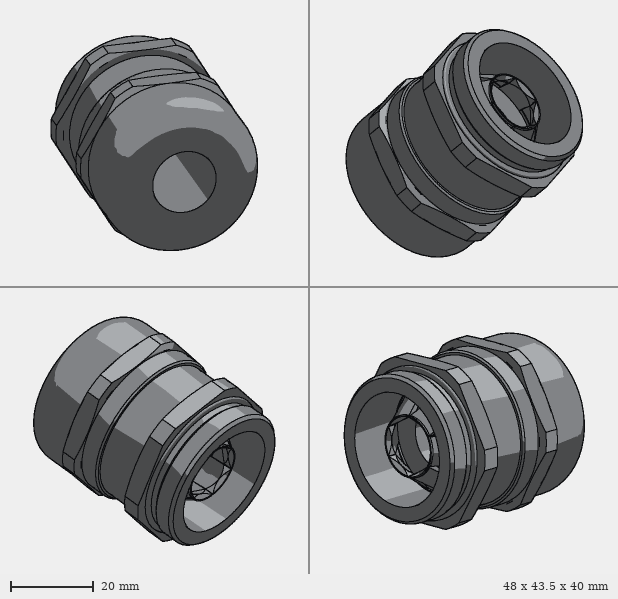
import cadquery as cq
import math

total_length = 48.0

thread_radius = 37.0 / 2
neck_radius = 35.5 / 2
flange_radius = 38.3 / 2
collar_radius = 39.2 / 2
cap_radius = 40.0 / 2
thread_lead_in = 0.85
thread_end = 5.0
thread_run_out = 0.7
flange_start = 7.35
flange_round = 0.4
collar_start = 23.7
collar_chamfer = 0.5
cap_round = 6.0

hex_sides = 6
hex_across_flats = 2 * cap_radius
hex_corner_radius = 43.5 / 2
hex_length = 5.0
hex_chamfer = 0.6
body_hex_start = 8.0
cap_hex_start = 28.75

bore_radius = 28.4 / 2
bore_depth = 14.65
outlet_radius = 16.0 / 2
seat_ring_radius = bore_radius - 0.25
seat_ring_height = 0.7

finger_count = 6
opening_across_flats = 13.05
opening_apothem = opening_across_flats / 2
finger_gap = 0.1
finger_width = opening_across_flats * math.tan(math.pi / finger_count) - finger_gap
tip_outer_radius = 7.8
tip_inner_radius = 7.45
tip_start = 3.85
tip_countersink = 1.05
tip_collar_length = 0.6
finger_root = 14.5
hollow_slope = 1.3


def revolve_about_x(profile):
    """Turn a closed (x, radius) profile drawn in the XY plane about the X axis."""
    return profile.close().revolve(360, (0, 0, 0), (1, 0, 0))


def cylinder_x(start, end, radius):
    return cq.Workplane("YZ").workplane(offset=start).circle(radius).extrude(end - start)


def make_turned_body():
    profile = (
        cq.Workplane("XY")
        .moveTo(0, 0)
        .lineTo(0, neck_radius)
        .lineTo(thread_lead_in, thread_radius)
        .lineTo(thread_end, thread_radius)
        .lineTo(thread_end + thread_run_out, neck_radius)
        .lineTo(flange_start, neck_radius)
        .lineTo(flange_start, flange_radius - flange_round)
        .radiusArc((flange_start + flange_round, flange_radius), flange_round)
        .lineTo(body_hex_start, flange_radius)
        .lineTo(body_hex_start, thread_radius)
        .lineTo(collar_start, thread_radius)
        .lineTo(collar_start, collar_radius - collar_chamfer)
        .lineTo(collar_start + collar_chamfer, collar_radius)
        .lineTo(cap_hex_start, collar_radius)
        .lineTo(cap_hex_start, cap_radius)
        .lineTo(total_length - cap_round, cap_radius)
        .radiusArc((total_length, cap_radius - cap_round), cap_round)
        .lineTo(total_length, 0)
    )
    return revolve_about_x(profile)


def make_hex(start, chamfer_front):
    """Hexagon with flats at +Z and -Z; its corners are turned to a cylinder and chamfered."""
    end = start + hex_length
    corner_to_corner = hex_across_flats / math.cos(math.pi / hex_sides)
    start_plane = cq.Workplane("YZ").workplane(offset=start)
    prism = start_plane.polygon(hex_sides, corner_to_corner).extrude(hex_length)
    blank = cq.Workplane("XY").moveTo(start, 0)
    if chamfer_front:
        blank = blank.lineTo(start, cap_radius).lineTo(start + hex_chamfer, hex_corner_radius)
    else:
        blank = blank.lineTo(start, hex_corner_radius)
    blank = blank.lineTo(end - hex_chamfer, hex_corner_radius).lineTo(end, cap_radius).lineTo(end, 0)
    return prism.intersect(revolve_about_x(blank))


def make_seat_ring():
    start = bore_depth - seat_ring_height
    ring = cylinder_x(start, bore_depth, bore_radius)
    return ring.cut(cylinder_x(start, bore_depth, seat_ring_radius))


def make_fingers():
    """Conical shell pointing to -X, split into parallel-sided fingers."""
    inner_tip = bore_depth - hollow_slope * (seat_ring_radius - opening_apothem)
    shell = revolve_about_x(
        cq.Workplane("XY")
        .moveTo(tip_start, tip_inner_radius)
        .lineTo(tip_start, tip_outer_radius)
        .lineTo(tip_start + tip_collar_length, tip_outer_radius)
        .lineTo(finger_root, bore_radius)
        .lineTo(bore_depth, bore_radius)
        .lineTo(bore_depth, seat_ring_radius)
        .lineTo(inner_tip, opening_apothem)
        .lineTo(tip_start + tip_countersink, opening_apothem)
    )
    bars = cq.Workplane("XY")
    for index in range(finger_count):
        bar = (
            cq.Workplane("XY")
            .box(bore_depth, bore_radius, finger_width, centered=(False, False, True))
            .translate((0, opening_apothem, 0))
            .rotate((0, 0, 0), (1, 0, 0), index * 360 / finger_count)
        )
        bars = bars.add(bar)
    return shell.intersect(bars.combine())


result = make_turned_body()
result = result.union(make_hex(body_hex_start, chamfer_front=False))
result = result.union(make_hex(cap_hex_start, chamfer_front=True))
result = result.cut(cylinder_x(0, bore_depth, bore_radius))
result = result.cut(cylinder_x(bore_depth, total_length, outlet_radius))
result = result.union(make_seat_ring())
result = result.union(make_fingers())